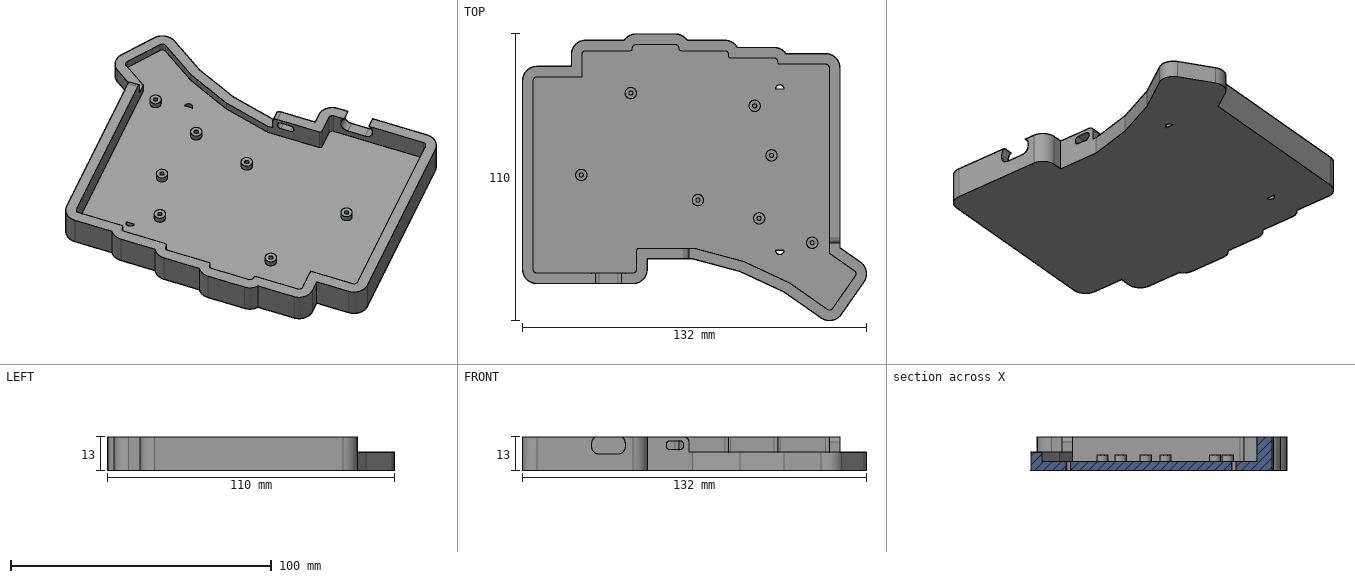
import cadquery as cq
import math

WALL = 4.1
HEIGHT = 13.0
LOW_RIM = 7.1
FLOOR = 3.5

CORNER_RADIUS = 1.5
STEP_RADIUS = 0.8

CAVITY_LEFT = WALL
CAVITY_BOTTOM = 18.3
BLOCK_RIGHT = 43.8
BLOCK_TOP = 93.6
FRONT_WALL_Y = 27.9

COLUMNS = [(22.8, 103.6), (42.1, 106.0), (60.0, 103.6), (79.1, 100.9), (98.0, 98.5)]
CAVITY_RIGHT = 117.8

ARM_START_X = 65.9
ARM_BENDS = [(19.7, 15), (19.4, 25), (19.1, 35)]
ARM_WIDTH = 18.1

DROP_X = 63.9
DROP_Y = 29.8
DROP_RADIUS = 2.0

POST_DIAMETER = 4.4
POST_HOLE_DIAMETER = 1.6
POST_HEIGHT = 2.4
POSTS = [(41.6, 87.4), (89.1, 82.5), (95.6, 63.5), (22.6, 56.0), (67.3, 46.3), (90.8, 39.3), (111.2, 30.0)]

HALF_HOLE_RADIUS = 1.6
HALF_HOLE_X = 98.7
HALF_HOLE_FLATS = [(89.0, 1), (27.0, -1)]

CONNECTOR_X = 33.0
CONNECTOR_WIDTH = 13.0
CONNECTOR_BOTTOM = 6.3
CONNECTOR_HEIGHT = 7.0
CONNECTOR_RADIUS = 2.9

SWITCH_X = 58.5
SWITCH_Z = 9.8
SWITCH_WIDTH = 6.6
SWITCH_HEIGHT = 3.3
SWITCH_RADIUS = 1.3


def step_along(point, length, degrees_down):
    """Return the point reached by walking right and down at the given angle."""
    angle = math.radians(degrees_down)
    return (point[0] + length * math.cos(angle), point[1] - length * math.sin(angle))


def back_points():
    """Corners of the stepped back side, from left to right."""
    points = [(COLUMNS[0][0], BLOCK_TOP)]
    right_sides = [left for left, _ in COLUMNS[1:]] + [CAVITY_RIGHT]
    for (left, back), right in zip(COLUMNS, right_sides):
        points += [(left, back), (right, back)]
    return points


def arm_points():
    """Corners of the thumb arm, from its inner start out to the tip and back to the right wall."""
    points = [(ARM_START_X, FRONT_WALL_Y)]
    for length, degrees_down in ARM_BENDS:
        points.append(step_along(points[-1], length, degrees_down))
    tip_angle = ARM_BENDS[-1][1]
    tip = step_along(points[-1], ARM_WIDTH, tip_angle - 90)
    root_y = tip[1] + (tip[0] - CAVITY_RIGHT) * math.tan(math.radians(tip_angle))
    return points + [tip, (CAVITY_RIGHT, root_y)]


def cavity_sketch():
    """Cavity outline with sharp corners."""
    points = [(CAVITY_LEFT, CAVITY_BOTTOM), (BLOCK_RIGHT, CAVITY_BOTTOM), (BLOCK_RIGHT, FRONT_WALL_Y)]
    points += arm_points()
    points += reversed(back_points())
    points.append((CAVITY_LEFT, BLOCK_TOP))
    return cq.Workplane("XY").polyline(points).close()


def rounded_outline(growth):
    """Cavity outline grown outward; corners that point outward are rounded and the others stay sharp."""
    core = cavity_sketch().offset2D(-CORNER_RADIUS, "intersection")
    return core.offset2D(CORNER_RADIUS + growth, "arc")


def wall_opening(center_x, center_z, width, height, radius):
    """Rounded opening that runs front to back through the front wall."""
    depth = FRONT_WALL_Y + WALL
    block = cq.Workplane("XY").box(width, depth, height).edges("|Y").fillet(radius)
    return block.translate((center_x, depth / 2, center_z))


def inner_corners():
    """Corners where the wall juts into the cavity and is itself rounded."""
    steps = []
    for (_, back), (left, next_back) in zip(COLUMNS, COLUMNS[1:]):
        steps.append((left, min(back, next_back)))
    return steps + [(BLOCK_RIGHT, FRONT_WALL_Y)]


def cavity():
    """Space inside the walls, above the floor."""
    body = rounded_outline(0).extrude(HEIGHT)
    for x, y in inner_corners():
        corner = cq.selectors.NearestToPointSelector((x, y, HEIGHT / 2))
        body = body.edges("|Z").edges(corner).fillet(STEP_RADIUS)
    return body.translate((0, 0, FLOOR))


def rounded_shoulder():
    """Waste above a rounded top edge along Y, on a wall end that faces +X; the sharp edge is at the origin."""
    return (
        cq.Workplane("XZ").moveTo(-DROP_RADIUS, 0).lineTo(0, 0).lineTo(0, -DROP_RADIUS)
        .radiusArc((-DROP_RADIUS, 0), -DROP_RADIUS).close()
        .extrude(WALL, both=True)
    )


def drop():
    """Space above the low rim, taken out of the walls around the arm with rounded wall ends."""
    reach = 132
    space = (
        cq.Workplane("XY").box(reach, DROP_Y + reach, HEIGHT, centered=False)
        .translate((DROP_X, -reach, LOW_RIM))
    )
    front_end = rounded_shoulder().translate((DROP_X, FRONT_WALL_Y - WALL / 2, HEIGHT))
    right_end = (
        rounded_shoulder().rotate((0, 0, 0), (0, 0, 1), -90)
        .translate((CAVITY_RIGHT + WALL / 2, DROP_Y, HEIGHT))
    )
    return space.union(front_end).union(right_end)


def posts():
    """Hollow screw posts."""
    return (
        cq.Workplane("XY").workplane(offset=FLOOR).pushPoints(POSTS)
        .circle(POST_DIAMETER / 2).circle(POST_HOLE_DIAMETER / 2).extrude(POST_HEIGHT)
    )


def half_hole(flat_y, side):
    """Half-round hole whose round side points to +Y (side 1) or -Y (side -1)."""
    left_end = (HALF_HOLE_X - HALF_HOLE_RADIUS, flat_y)
    crown = (HALF_HOLE_X, flat_y + side * HALF_HOLE_RADIUS)
    right_end = (HALF_HOLE_X + HALF_HOLE_RADIUS, flat_y)
    return cq.Workplane("XY").moveTo(*left_end).threePointArc(crown, right_end).close().extrude(FLOOR)


connector_opening = wall_opening(
    CONNECTOR_X, CONNECTOR_BOTTOM + CONNECTOR_HEIGHT / 2, CONNECTOR_WIDTH, CONNECTOR_HEIGHT, CONNECTOR_RADIUS
)
switch_slot = wall_opening(SWITCH_X, SWITCH_Z, SWITCH_WIDTH, SWITCH_HEIGHT, SWITCH_RADIUS)

result = rounded_outline(WALL).extrude(HEIGHT).cut(cavity()).cut(drop())
result = result.cut(connector_opening).cut(switch_slot).union(posts())
for flat_y, side in HALF_HOLE_FLATS:
    result = result.cut(half_hole(flat_y, side))